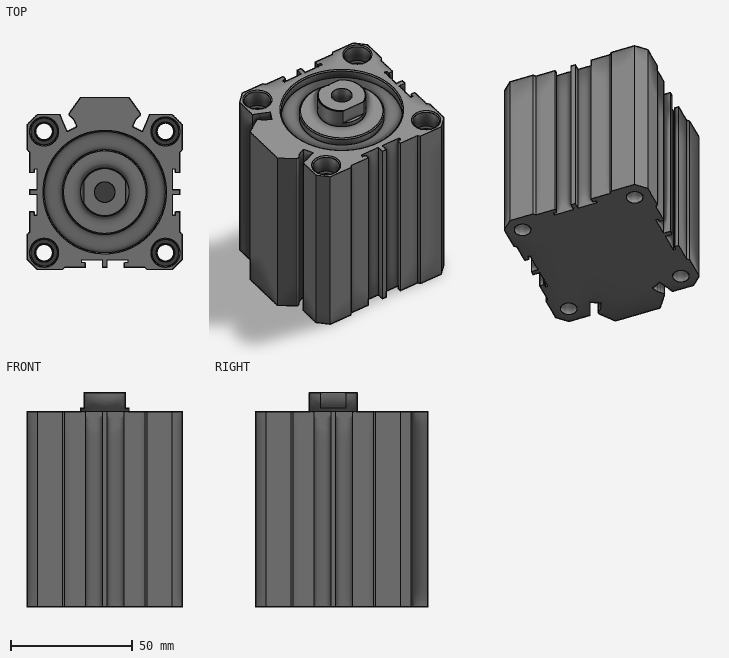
import cadquery as cq

HOUSING_HEIGHT = 80.5
HALF_WIDTH = 32.0
CORNER_CHAMFER = 4.2

RELIEF_FACE = HALF_WIDTH - 1.0
RELIEF_HALF_LENGTH = 16.5
SLOT_FLOOR = 28.0
UNDERCUT_TOP = 29.0
SLOT_HALF_LENGTH = 8.0
UNDERCUT_HALF_LENGTH = 9.5
RIB_HALF_WIDTH = 1.0
LIP_CHAMFER = 0.3

RAIL_TOP = 39.0
RAIL_TOP_HALF_WIDTH = 10.0
RAIL_TIP = (15.1, 31.9)
RAIL_TIP_FILLET = 1.0
RAIL_NECK = (12.9, 30.2)
RAIL_NECK_CHAMFER = 0.7
GROOVE_INNER_CORNER = (11.5, 27.0)
GROOVE_OUTER_CORNER = (15.5, 25.0)
GROOVE_BEND = (17.3, 29.1)
GROOVE_MOUTH = (18.4, HALF_WIDTH)

HOLE_SPACING = 50.0
HOLE_DIAMETER = 6.8
COUNTERBORE_DIAMETER = 11.0
COUNTERBORE_DEPTH = 8.0
COUNTERBORE_CHAMFER = 0.5
HOLE_CHAMFER = 0.5

RECESS_DIAMETER = 50.0
RECESS_DEPTH = 4.0
RECESS_CHAMFER = 0.5
COLLAR_DIAMETER = 35.0
COLLAR_DROP = 0.5
COLLAR_CHAMFER = 0.5

ROD_DIAMETER = 20.0
ROD_PROJECTION = 8.0
ROD_SEAT_DEPTH = 20.0
ROD_CHAMFER = 0.3
FLATS_WIDTH = 17.0
FLATS_LENGTH = 6.5
ROD_BORE_DIAMETER = 8.5
ROD_BORE_DEPTH = 15.0

ROD_BOTTOM = HOUSING_HEIGHT - ROD_SEAT_DEPTH
ROD_TOP = HOUSING_HEIGHT + ROD_PROJECTION


def mirrored(points):
    """Mirror outline points across X = 0, in reverse order to continue the outline."""
    return [(-x, y) for x, y in reversed(points)]


def slotted_side_cutter():
    """Material removed from the -Y side: the relief and the two undercut slots."""
    relief_edge = RELIEF_HALF_LENGTH + HALF_WIDTH - RELIEF_FACE
    half = [
        (RIB_HALF_WIDTH, -RELIEF_FACE),
        (RIB_HALF_WIDTH, -SLOT_FLOOR),
        (UNDERCUT_HALF_LENGTH, -SLOT_FLOOR),
        (UNDERCUT_HALF_LENGTH, -UNDERCUT_TOP),
        (SLOT_HALF_LENGTH + LIP_CHAMFER, -UNDERCUT_TOP),
        (SLOT_HALF_LENGTH, -UNDERCUT_TOP - LIP_CHAMFER),
        (SLOT_HALF_LENGTH, -RELIEF_FACE),
        (RELIEF_HALF_LENGTH, -RELIEF_FACE),
        (relief_edge, -HALF_WIDTH),
    ]
    return cq.Workplane("XY").polyline(mirrored(half) + half).close().extrude(HOUSING_HEIGHT)


def edge_pair(point):
    """Selector for the upright edges nearest an outline point and its mirror image across X = 0."""
    x, y = point
    middle = HOUSING_HEIGHT / 2
    right = cq.selectors.NearestToPointSelector((x, y, middle))
    left = cq.selectors.NearestToPointSelector((-x, y, middle))
    return right + left


def rail():
    """Rail on the +Y side together with the two grooves beside it, down to the rod axis."""
    half = [
        (RAIL_TOP_HALF_WIDTH, RAIL_TOP),
        RAIL_TIP,
        RAIL_NECK,
        GROOVE_INNER_CORNER,
        GROOVE_OUTER_CORNER,
        GROOVE_BEND,
        GROOVE_MOUTH,
        (GROOVE_MOUTH[0], 0),
    ]
    body = cq.Workplane("XY").polyline(mirrored(half) + half).close().extrude(HOUSING_HEIGHT)
    body = body.edges(edge_pair(RAIL_TIP)).fillet(RAIL_TIP_FILLET)
    return body.edges(edge_pair(RAIL_NECK)).chamfer(RAIL_NECK_CHAMFER)


def profile():
    """Full extruded section of the housing."""
    block = (
        cq.Workplane("XY")
        .rect(2 * HALF_WIDTH, 2 * HALF_WIDTH)
        .extrude(HOUSING_HEIGHT)
        .edges("|Z")
        .chamfer(CORNER_CHAMFER)
    )
    rail_bed = (
        cq.Workplane("XY")
        .center(0, HALF_WIDTH / 2)
        .rect(2 * GROOVE_MOUTH[0], HALF_WIDTH)
        .extrude(HOUSING_HEIGHT)
    )
    section = block.cut(rail_bed).union(rail())
    for angle in (-90, 0, 90):
        section = section.cut(slotted_side_cutter().rotate((0, 0, 0), (0, 0, 1), angle))
    return section


def disc(diameter, bottom, top):
    """Cylinder on the rod axis between two heights."""
    return cq.Workplane("XY").workplane(offset=bottom).circle(diameter / 2).extrude(top - bottom)


def mounting_hole_cutter():
    """Through hole with a counterbore, both with chamfered mouths."""
    floor = HOUSING_HEIGHT - COUNTERBORE_DEPTH
    hole_radius = HOLE_DIAMETER / 2
    bore_radius = COUNTERBORE_DIAMETER / 2
    half_section = [
        (0, 0),
        (hole_radius, 0),
        (hole_radius, floor - HOLE_CHAMFER),
        (hole_radius + HOLE_CHAMFER, floor),
        (bore_radius, floor),
        (bore_radius, HOUSING_HEIGHT - COUNTERBORE_CHAMFER),
        (bore_radius + COUNTERBORE_CHAMFER, HOUSING_HEIGHT),
        (0, HOUSING_HEIGHT),
    ]
    return cq.Workplane("XZ").polyline(half_section).close().revolve(360, (0, 0, 0), (0, 1, 0))


def make_housing():
    recess_floor = HOUSING_HEIGHT - RECESS_DEPTH
    collar_top = HOUSING_HEIGHT - COLLAR_DROP
    recess = disc(RECESS_DIAMETER, recess_floor, HOUSING_HEIGHT)
    recess_mouth = cq.Solid.makeCone(
        RECESS_DIAMETER / 2,
        RECESS_DIAMETER / 2 + RECESS_CHAMFER,
        RECESS_CHAMFER,
        pnt=cq.Vector(0, 0, HOUSING_HEIGHT - RECESS_CHAMFER),
    )
    collar = disc(COLLAR_DIAMETER, recess_floor, collar_top).faces(">Z").chamfer(COLLAR_CHAMFER)
    rod_seat = disc(ROD_DIAMETER, ROD_BOTTOM, HOUSING_HEIGHT)
    body = profile().cut(recess).cut(cq.Workplane(recess_mouth)).union(collar).cut(rod_seat)
    for x in (-HOLE_SPACING / 2, HOLE_SPACING / 2):
        for y in (-HOLE_SPACING / 2, HOLE_SPACING / 2):
            body = body.cut(mounting_hole_cutter().translate((x, y, 0)))
    return body


def make_rod():
    """Round rod with a pair of wrench flats and a blind bore in its end."""
    flats_bottom = ROD_TOP - FLATS_LENGTH
    shaft = disc(ROD_DIAMETER, ROD_BOTTOM, ROD_TOP).faces(">Z").chamfer(ROD_CHAMFER)
    tip = disc(ROD_DIAMETER, flats_bottom, ROD_TOP)
    between_flats = (
        cq.Workplane("XY")
        .workplane(offset=flats_bottom)
        .rect(FLATS_WIDTH, ROD_DIAMETER)
        .extrude(FLATS_LENGTH)
    )
    bore = disc(ROD_BORE_DIAMETER, ROD_TOP - ROD_BORE_DEPTH, ROD_TOP)
    return shaft.cut(tip.cut(between_flats)).cut(bore)


housing = make_housing()
rod = make_rod()
result = cq.Compound.makeCompound([housing.solids().val(), rod.solids().val()])